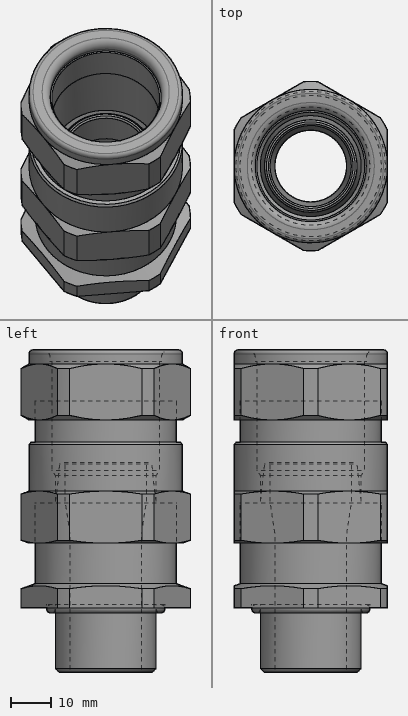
import cadquery as cq
import math


ACROSS_FLATS = 38.0
FLAT_R = ACROSS_FLATS / 2
CORNER_R = 21.0
SHALLOW_BEVEL = 20.0
STEEP_BEVEL = 30.0

TOTAL_HEIGHT = 79.9
ENTRY_HEX_BOTTOM = 16.0
ENTRY_HEX_TOP = 22.0
MIDDLE_BOTTOM = 32.0
MIDDLE_HEX_TOP = 44.9
MIDDLE_SHOULDER = 57.0
NUT_BOTTOM = 62.5
NUT_HEX_TOP = 76.4

THREAD_R = 12.5
THREAD_CHAMFER = 1.0
SPIGOT_R = 17.5
COLLAR_R = FLAT_R
SHOULDER_CHAMFER = 0.5
NUT_RIM_ROUND = 1.0

O_RING_OUTER_R = 14.65
O_RING_SECTION_R = (O_RING_OUTER_R - THREAD_R) / 2
O_RING_CENTRE_R = THREAD_R + O_RING_SECTION_R
O_RING_CENTRE_Z = 15.75
O_RING_GROOVE_TOP = O_RING_CENTRE_Z + O_RING_SECTION_R

ENTRY_TOP = 42.0
ENTRY_BORE_R = 8.85
ENTRY_TAPER_HEIGHT = 8.0

CONE_TOP = 52.0
CONE_BASE_R = 12.5
CONE_TIP_R = 11.4
CONE_BORE_R = 10.05
CONE_TIP_CHAMFER = 0.42

MIDDLE_TOP = 67.2
MIDDLE_BORE_R = 13.35
CLAMP_BORE_R = CONE_BASE_R
CLAMP_TOP = 50.0
CLAMP_BEVEL_HEIGHT = 1.2

NUT_STEP_Z = 77.0
NUT_MOUTH_R = 13.75
NUT_LIP_ROUND = 2.0


def cylinder(radius, bottom, top):
    """Solid round bar on Z between two heights."""
    return cq.Workplane("XY").workplane(offset=bottom).circle(radius).extrude(top - bottom)


def turned(points):
    """Solid of revolution about Z from a closed outline of (radius, height) points."""
    return cq.Workplane("XZ").polyline(points).close().revolve(360, (0, 0), (0, 1))


def hexagon(bottom, top, top_bevel, top_bevel_r, bottom_bevel=0.0):
    """Hexagon with turned corners; the bevels cut cones across the corners.

    The top bevel starts at top_bevel_r and the bottom bevel at the flats.
    """
    top_drop = (CORNER_R - top_bevel_r) * math.tan(math.radians(top_bevel))
    bottom_rise = (CORNER_R - FLAT_R) * math.tan(math.radians(bottom_bevel))
    outline = [(0, bottom), (FLAT_R, bottom)]
    outline.append((CORNER_R, bottom + bottom_rise))
    outline.append((CORNER_R, top - top_drop))
    outline += [(top_bevel_r, top), (0, top)]
    prism = (
        cq.Workplane("XY")
        .workplane(offset=bottom)
        .polygon(6, ACROSS_FLATS, circumscribed=True)
        .extrude(top - bottom)
    )
    return prism.intersect(turned(outline))


def make_entry_body():
    """Threaded entry with its hexagon, O-ring groove and tapered bore."""
    thread = cylinder(THREAD_R, 0, ENTRY_HEX_BOTTOM).faces("<Z").chamfer(THREAD_CHAMFER)
    flange = hexagon(ENTRY_HEX_BOTTOM, ENTRY_HEX_TOP, SHALLOW_BEVEL, SPIGOT_R)
    spigot = cylinder(SPIGOT_R, ENTRY_HEX_TOP, ENTRY_TOP)
    bore = turned([
        (0, 0),
        (ENTRY_BORE_R, 0),
        (ENTRY_BORE_R, ENTRY_TOP - ENTRY_TAPER_HEIGHT),
        (CONE_BORE_R, ENTRY_TOP),
        (0, ENTRY_TOP),
    ])
    groove = (
        cylinder(O_RING_OUTER_R, ENTRY_HEX_BOTTOM, O_RING_GROOVE_TOP)
        .cut(cylinder(THREAD_R, ENTRY_HEX_BOTTOM, O_RING_GROOVE_TOP))
    )
    return thread.union(flange).union(spigot).cut(bore).cut(groove)


def make_o_ring():
    """Round-section sealing ring hugging the entry thread."""
    return (
        cq.Workplane("XZ")
        .center(O_RING_CENTRE_R, O_RING_CENTRE_Z)
        .circle(O_RING_SECTION_R)
        .revolve(360, (-O_RING_CENTRE_R, 0), (-O_RING_CENTRE_R, 1))
    )


def make_armour_cone():
    """Hollow cone whose tip is chamfered inside and outside."""
    cone = turned([
        (CONE_BORE_R, ENTRY_TOP),
        (CONE_BASE_R, ENTRY_TOP),
        (CONE_TIP_R, CONE_TOP),
        (CONE_BORE_R, CONE_TOP),
    ])
    return cone.faces(">Z").chamfer(CONE_TIP_CHAMFER)


def make_middle_body():
    """Hexagon, round collar and upper spigot, bored for the entry body and the cone."""
    hex_part = hexagon(MIDDLE_BOTTOM, MIDDLE_HEX_TOP, SHALLOW_BEVEL, COLLAR_R, SHALLOW_BEVEL)
    collar = cylinder(COLLAR_R, MIDDLE_HEX_TOP, MIDDLE_SHOULDER)
    collar = collar.faces(">Z").edges().chamfer(SHOULDER_CHAMFER)
    spigot = cylinder(SPIGOT_R, MIDDLE_HEX_TOP, MIDDLE_TOP)
    bore = turned([
        (0, MIDDLE_BOTTOM),
        (SPIGOT_R, MIDDLE_BOTTOM),
        (SPIGOT_R, ENTRY_TOP),
        (CLAMP_BORE_R, ENTRY_TOP),
        (CLAMP_BORE_R, CLAMP_TOP - CLAMP_BEVEL_HEIGHT),
        (MIDDLE_BORE_R, CLAMP_TOP),
        (MIDDLE_BORE_R, MIDDLE_TOP),
        (0, MIDDLE_TOP),
    ])
    return hex_part.union(collar).union(spigot).cut(bore)


def make_top_nut():
    """Clamping nut with a rounded rim, a rounded mouth and a socket for the middle body."""
    hex_part = hexagon(NUT_BOTTOM, NUT_HEX_TOP, STEEP_BEVEL, COLLAR_R, STEEP_BEVEL)
    rim = cylinder(COLLAR_R, NUT_HEX_TOP, TOTAL_HEIGHT)
    rim = rim.faces(">Z").edges().fillet(NUT_RIM_ROUND)
    bore = turned([
        (0, NUT_BOTTOM),
        (SPIGOT_R, NUT_BOTTOM),
        (SPIGOT_R, MIDDLE_TOP),
        (MIDDLE_BORE_R, MIDDLE_TOP),
        (MIDDLE_BORE_R, NUT_STEP_Z),
        (NUT_MOUTH_R, NUT_STEP_Z),
        (NUT_MOUTH_R, TOTAL_HEIGHT),
        (0, TOTAL_HEIGHT),
    ])
    mouth_edge = cq.selectors.RadiusNthSelector(0)
    return hex_part.union(rim).cut(bore).faces(">Z").edges(mouth_edge).fillet(NUT_LIP_ROUND)


entry_body = make_entry_body()
o_ring = make_o_ring()
armour_cone = make_armour_cone()
middle_body = make_middle_body()
top_nut = make_top_nut()

result = cq.Compound.makeCompound([
    entry_body.val(),
    o_ring.val(),
    armour_cone.val(),
    middle_body.val(),
    top_nut.val(),
])